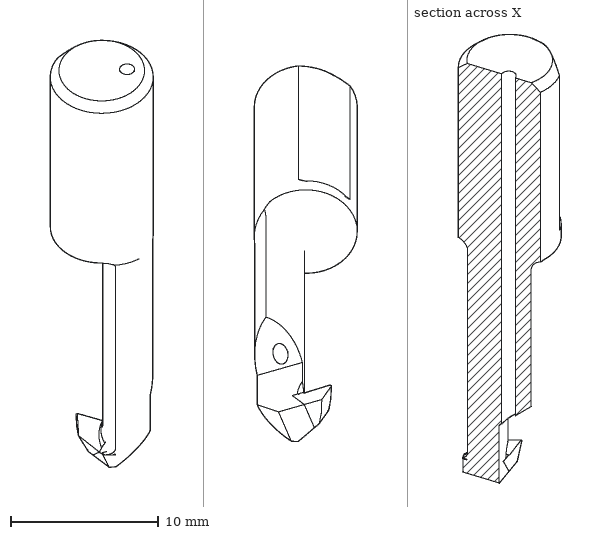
import cadquery as cq
import math

TOTAL_LENGTH = 35.0
SHANK_RADIUS = 3.5
SHANK_BOTTOM = 20.0
SHANK_CHAMFER = 0.6

FLAT_DIRECTION = 135
FLAT_DEPTH = 0.6
FLAT_BOTTOM = 21.05
FLAT_BEVEL = 0.2
FLAT_OFFSET = SHANK_RADIUS - FLAT_DEPTH

COOLANT_DIAMETER = 1.0
COOLANT_X = 1.58
COOLANT_Y = 0.7

NECK_LEFT = 0.25
NECK_RIGHT = SHANK_RADIUS
LEFT_ARC_RADIUS = 2.87
RIGHT_ARC_RADIUS = 2.98
LEFT_ARC_CENTER_X = NECK_LEFT + LEFT_ARC_RADIUS
RIGHT_ARC_CENTER_X = NECK_RIGHT - RIGHT_ARC_RADIUS
NECK_FILLET = 0.98

RAKE_TOP = 4.95
END_CHAMFER = 1.55

HEAD_TOP = 1.45
HEAD_FILLET = 0.6
HEAD_FILLET_FOOT = 1.2
NOSE_CHAMFER = 0.18
TOP_FALL_FRONT = 2.6
TOP_FALL_RIGHT = 2.3
FLANK_LEAN_ANGLE = 29
FLANK_LEAN = math.tan(math.radians(FLANK_LEAN_ANGLE))
FLANK_FOOT = [(-1.15, 0.0), (-0.77, -1.0), (-0.3, -1.85)]
LAST_FLANK_SLOPE = -0.51
HEAD_REACH_X = 2.8

RELIEF_DEPTH = 0.35
RELIEF_HEIGHT = 1.3
RELIEF_DIRECTION = 45

JOINT_FOOT_X = 0.1
JOINT_LEAN = 0.6

CLEAR = 2 * SHANK_RADIUS


def cylinder(radius, center_x, z_low, z_high):
    return (
        cq.Workplane("XY", origin=(center_x, 0, z_low))
        .circle(radius)
        .extrude(z_high - z_low)
    )


def flared_post(radius, center_x, z_low, z_high, flare):
    """Round post whose top widens in a concave quarter round."""
    arc_mid = flare * (1 - math.sqrt(0.5))
    return (
        cq.Workplane("XZ", origin=(center_x, 0, 0))
        .moveTo(0, z_low)
        .lineTo(radius, z_low)
        .lineTo(radius, z_high - flare)
        .threePointArc(
            (radius + arc_mid, z_high - arc_mid),
            (radius + flare, z_high),
        )
        .lineTo(0, z_high)
        .close()
        .revolve(360, (0, 0), (0, 1))
    )


def make_shank():
    shank = cylinder(SHANK_RADIUS, 0, SHANK_BOTTOM, TOTAL_LENGTH)
    shank = shank.faces(">Z").chamfer(SHANK_CHAMFER)
    flat_cutter = (
        cq.Workplane("XZ")
        .moveTo(FLAT_OFFSET, TOTAL_LENGTH)
        .lineTo(FLAT_OFFSET, FLAT_BOTTOM + FLAT_BEVEL)
        .lineTo(FLAT_OFFSET + FLAT_BEVEL, FLAT_BOTTOM)
        .lineTo(CLEAR, FLAT_BOTTOM)
        .lineTo(CLEAR, TOTAL_LENGTH)
        .close()
        .extrude(CLEAR, both=True)
        .rotate((0, 0, 0), (0, 0, 1), FLAT_DIRECTION)
    )
    return shank.cut(flat_cutter)


def make_neck():
    left_post = flared_post(LEFT_ARC_RADIUS, LEFT_ARC_CENTER_X, 0, SHANK_BOTTOM, NECK_FILLET)
    right_post = flared_post(RIGHT_ARC_RADIUS, RIGHT_ARC_CENTER_X, 0, SHANK_BOTTOM, NECK_FILLET)
    within_shank = cylinder(SHANK_RADIUS, 0, 0, SHANK_BOTTOM)
    return left_post.intersect(right_post).intersect(within_shank)


def head_top_cutter():
    """Slab whose underside is the head top, falling away from the nose."""
    nose_x = FLANK_FOOT[0][0] - FLANK_LEAN * HEAD_TOP
    return (
        cq.Workplane("XY")
        .rect(2 * CLEAR, 2 * CLEAR)
        .extrude(CLEAR)
        .rotate((0, 0, 0), (1, 0, 0), TOP_FALL_FRONT)
        .rotate((0, 0, 0), (0, 1, 0), TOP_FALL_RIGHT)
        .translate((nose_x, 0, HEAD_TOP))
    )


def make_head():
    """Leaning prism of the flank outline, trimmed by the right neck arc and beveled at the nose."""
    last_x, last_y = FLANK_FOOT[-1]
    far_y = last_y + LAST_FLANK_SLOPE * (HEAD_REACH_X - last_x)
    outline = FLANK_FOOT + [(HEAD_REACH_X, far_y), (HEAD_REACH_X, 0)]
    wire = cq.Wire.makePolygon([cq.Vector(x, y, 0) for x, y in outline], close=True)
    lean = cq.Vector(-FLANK_LEAN * HEAD_TOP, 0, HEAD_TOP)
    head = cq.Workplane(cq.Solid.extrudeLinear(wire, [], lean))
    head = head.intersect(cylinder(RIGHT_ARC_RADIUS, RIGHT_ARC_CENTER_X, 0, RAKE_TOP))
    head = head.cut(head_top_cutter())
    nose_x = (FLANK_FOOT[0][0] + FLANK_FOOT[1][0]) / 2
    nose_y = FLANK_FOOT[1][1] / 2
    nose_edge = cq.selectors.NearestToPointSelector((nose_x + lean.x, nose_y, HEAD_TOP))
    return head.edges(nose_edge).chamfer(NOSE_CHAMFER)


def make_head_fillet():
    """Concave fillet between the left neck arc and the top of the head."""
    fillet_top = HEAD_FILLET_FOOT + HEAD_FILLET
    ring = flared_post(
        LEFT_ARC_RADIUS, LEFT_ARC_CENTER_X, -RAKE_TOP, -HEAD_FILLET_FOOT, HEAD_FILLET
    ).mirror("XY")
    return ring.intersect(
        cylinder(RIGHT_ARC_RADIUS, RIGHT_ARC_CENTER_X, HEAD_FILLET_FOOT, fillet_top)
    )


def rake_cutter():
    """Everything on the +Y side of the rake plane, run out upward at 45 degrees."""
    return (
        cq.Workplane("YZ")
        .moveTo(0, -CLEAR)
        .lineTo(0, RAKE_TOP)
        .lineTo(CLEAR, RAKE_TOP + CLEAR)
        .lineTo(CLEAR, -CLEAR)
        .close()
        .extrude(CLEAR, both=True)
    )


def end_chamfer_cutter():
    return (
        cq.Workplane("XZ")
        .moveTo(NECK_RIGHT - END_CHAMFER, 0)
        .lineTo(NECK_RIGHT, END_CHAMFER)
        .lineTo(NECK_RIGHT + END_CHAMFER, END_CHAMFER)
        .lineTo(NECK_RIGHT + END_CHAMFER, 0)
        .close()
        .extrude(CLEAR, both=True)
    )


def relief_cutter():
    """Hollow running at 45 degrees across the left rake edge, deepest at the head."""
    depth = RELIEF_DEPTH * math.sqrt(0.5)
    radius = (RELIEF_HEIGHT**2 + depth**2) / (2 * depth)
    return (
        cq.Workplane("YZ", origin=(0, 0, HEAD_TOP))
        .moveTo(-depth, 0)
        .radiusArc((0, RELIEF_HEIGHT), radius)
        .lineTo(CLEAR, RELIEF_HEIGHT)
        .lineTo(CLEAR, 0)
        .close()
        .extrude(CLEAR, both=True)
        .rotate((0, 0, 0), (0, 0, 1), RELIEF_DIRECTION)
        .translate((NECK_LEFT, 0, 0))
    )


def coolant_cutter():
    return (
        cq.Workplane("XY")
        .center(COOLANT_X, COOLANT_Y)
        .circle(COOLANT_DIAMETER / 2)
        .extrude(TOTAL_LENGTH)
    )


def tip_region():
    """Space of the cutting tip: left of the sloping joint, up to the head top."""
    return (
        cq.Workplane("XZ")
        .moveTo(JOINT_FOOT_X, 0)
        .lineTo(JOINT_FOOT_X + JOINT_LEAN * HEAD_TOP, HEAD_TOP)
        .lineTo(-CLEAR, HEAD_TOP)
        .lineTo(-CLEAR, 0)
        .close()
        .extrude(CLEAR, both=True)
    )


def make_tool():
    """Shank, neck and head in one piece, before the tip is parted off."""
    lower_end = make_neck().union(make_head_fillet()).cut(rake_cutter()).union(make_head())
    lower_end = lower_end.cut(end_chamfer_cutter()).cut(relief_cutter())
    return lower_end.union(make_shank()).cut(coolant_cutter())


tool = make_tool()
holder = tool.cut(tip_region()).solids()
cutting_tip = tool.intersect(tip_region()).solids()
result = cq.Compound.makeCompound([holder.val(), cutting_tip.val()])